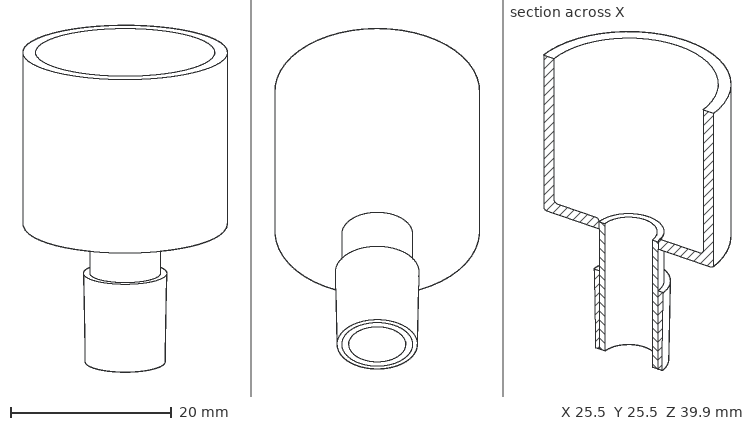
import cadquery as cq

total_height = 39.9

tube_diameter = 8.8
tube_bore_diameter = 7.1

cup_diameter = 25.5
cup_bore_diameter = 22.3
cup_base_z = 17.4
cup_height = total_height - cup_base_z
wall_thickness = (cup_diameter - cup_bore_diameter) / 2
floor_thickness = wall_thickness
floor_z = cup_base_z + floor_thickness

hole_rim_diameter = 9.8
edge_radius = (hole_rim_diameter - tube_diameter) / 2

tube_length = floor_z - edge_radius

sleeve_length = 11.4
sleeve_top_diameter = 10.4
sleeve_bottom_diameter = 10.0


def upright_cylinder(diameter, bottom_z, height):
    """Solid cylinder on the Z axis, standing on the level bottom_z."""
    return cq.Workplane("XY").workplane(offset=bottom_z).circle(diameter / 2).extrude(height)


def make_cup():
    """Cup with a rounded base edge, a rounded inner corner and a round-edged floor hole."""
    outside = upright_cylinder(cup_diameter, cup_base_z, cup_height)
    outside = outside.faces("<Z").edges().fillet(edge_radius)

    cavity = upright_cylinder(cup_bore_diameter, floor_z, cup_height - floor_thickness)
    cavity = cavity.faces("<Z").edges().fillet(edge_radius)

    tube_hole = upright_cylinder(tube_diameter, cup_base_z, floor_thickness)
    cup = outside.cut(cavity).cut(tube_hole)

    inner_floor = cup.faces(cq.selectors.NearestToPointSelector((0, 0, floor_z)))
    hole_rim = inner_floor.edges(cq.selectors.RadiusNthSelector(0))
    return hole_rim.fillet(edge_radius)


def make_tube():
    """Plain tube through the sleeve and into the floor hole of the cup."""
    bore = upright_cylinder(tube_bore_diameter, 0, tube_length)
    return upright_cylinder(tube_diameter, 0, tube_length).cut(bore)


def make_sleeve():
    """Ring that fits on the tube and narrows slightly towards its lower end."""
    return (
        cq.Workplane("XZ")
        .moveTo(tube_diameter / 2, 0)
        .lineTo(sleeve_bottom_diameter / 2, 0)
        .lineTo(sleeve_top_diameter / 2, sleeve_length)
        .lineTo(tube_diameter / 2, sleeve_length)
        .close()
        .revolve(360, (0, 0), (0, 1))
    )


cup = make_cup()
tube = make_tube()
sleeve = make_sleeve()

result = cq.Compound.makeCompound([cup.solids().val(), tube.solids().val(), sleeve.solids().val()])